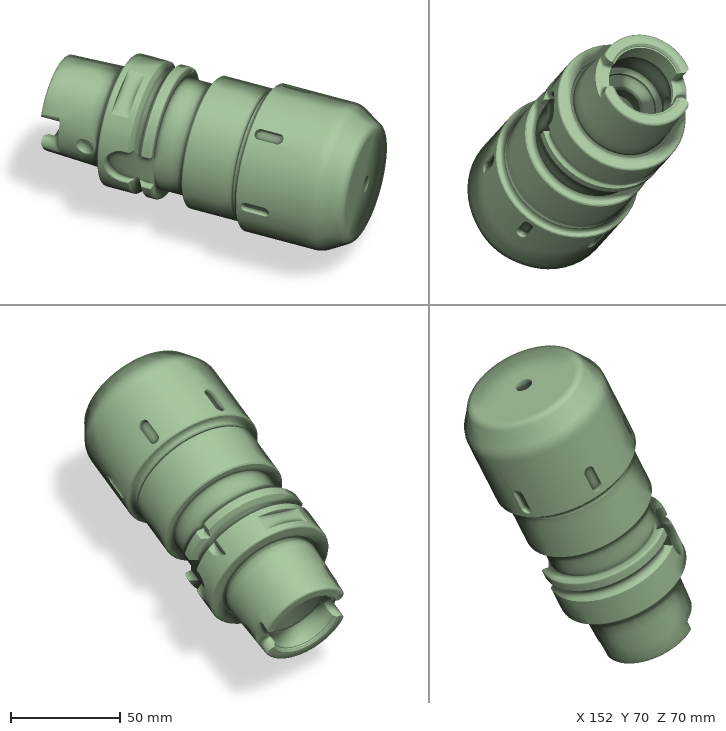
import cadquery as cq
import math


shank_length = 31.9
shank_end_radius = 22.8
shank_root_radius = 48.2 / 2
shank_end_fillet = 1.2
taper_end = 30.2
relief_depth = 0.3
relief_recess = 0.5
relief_radius = 25.4

flange_radius = 63.0 / 2
flange_end = 58.0
flange_fillet = 1.0
v_groove_centre = 50.0
v_groove_floor = 2.0
v_groove_radius = 27.5
v_groove_fillet = 1.0
v_groove_half_angle = 30

neck_radius = 53.0 / 2
shoulder_start = 73.5
shoulder_end = 98.3
shoulder_radius = flange_radius
shoulder_front_chamfer = 0.6
shoulder_rear_chamfer = 0.8
spigot_radius = 40.0 / 2

mouth_diameter = 36.0
entry_diameter = 34.0
bore_diameter = 33.0
entry_step = 1.5
clamp_recess_start = 12.2
clamp_recess_end = 28.9
clamp_recess_diameter = 37.0
floor_bore_diameter = 30.7
bore_depth = 30.4
seat_diameter = 19.0
seat_inner_diameter = 17.0
seat_depth = 7.6
through_diameter = 8.0

notch_width = 12.3
notch_flat = 20.5
notch_edge_radius = 3.6
notch_corner_radius = 1.2
front_notch_depth = 9.7
back_notch_depth = 6.0

cross_hole_diameter = 8.0
cross_hole_chamfer = 0.3
cross_hole_x = 23.0

slot_centre_x = 44.7
slot_floor = neck_radius
front_slot_width = 18.0
back_slot_width = 16.0
front_slot_chamfer = 0.5

corner_notch_offset = 20.0
corner_notch_run_out = 8.5
pocket_start = 35.3
pocket_length = 8.4
pocket_floor = 29.2
pocket_angle = 21.8

nut_gap = 0.3
nut_start = shoulder_end + nut_gap
nut_end = 152.0
nut_radius = 70.0 / 2
collar_radius = 31.6
collar_chamfer = 0.6
flare_start = 99.9
flare_radius = 1.8
nut_chamfer = 0.5
nut_taper_start = 136.8
nut_taper_angle = 30
nut_shoulder_arc = 10.2
nut_nose_arc = 4.0
key_slot_count = 6
key_slot_x = 111.3
key_slot_length = 14.0
key_slot_width = 5.2
key_slot_depth = 3.0

cutter_overrun = 1.5


def revolve_about_x(profile):
    return profile.close().revolve(360, (0, 0, 0), (1, 0, 0))


def cylinder_along_x(start, end, diameter):
    return cq.Workplane("YZ", origin=(start, 0, 0)).circle(diameter / 2).extrude(end - start)


def cone_along_x(start, length, start_diameter, end_diameter):
    axis = cq.Vector(1, 0, 0)
    cone = cq.Solid.makeCone(start_diameter / 2, end_diameter / 2, length, cq.Vector(start, 0, 0), axis)
    return cq.Workplane("XY").add(cone)


def make_shank_blank():
    root_radius = shank_root_radius - relief_depth
    recess_floor = shank_length + relief_recess
    outline = (
        cq.Workplane("XY")
        .moveTo(0, 0)
        .lineTo(0, shank_end_radius - shank_end_fillet)
        .radiusArc((shank_end_fillet, shank_end_radius), shank_end_fillet)
        .lineTo(taper_end, shank_root_radius)
        .lineTo(taper_end + relief_depth, root_radius)
        .lineTo(recess_floor, root_radius)
        .lineTo(recess_floor, 0)
    )
    return revolve_about_x(outline)


def make_shank():
    hole = cq.Workplane("XZ").center(cross_hole_x, 0).circle(cross_hole_diameter / 2).extrude(flange_radius)
    rim = cq.selectors.NearestToPointSelector((cross_hole_x, -shank_root_radius, 0))
    return make_shank_blank().cut(hole).edges(rim).chamfer(cross_hole_chamfer)


def make_face_relief():
    """Shallow conical recess in the front face of the flange, around the root of the shank."""
    root_radius = shank_root_radius - relief_depth
    outline = (
        cq.Workplane("XY")
        .moveTo(shank_length, root_radius)
        .lineTo(shank_length + relief_recess, root_radius)
        .lineTo(shank_length + relief_recess, relief_radius - relief_recess)
        .lineTo(shank_length, relief_radius)
    )
    return revolve_about_x(outline)


def make_v_groove():
    floor_start = v_groove_centre - v_groove_floor / 2
    floor_end = v_groove_centre + v_groove_floor / 2
    top = flange_radius + cutter_overrun
    spread = (top - v_groove_radius) * math.tan(math.radians(v_groove_half_angle))
    outline = (
        cq.Workplane("XY")
        .moveTo(floor_start, v_groove_radius)
        .lineTo(floor_start - spread, top)
        .lineTo(floor_end + spread, top)
        .lineTo(floor_end, v_groove_radius)
    )
    return revolve_about_x(outline).edges(cq.selectors.RadiusNthSelector(0)).fillet(v_groove_fillet)


def make_flange():
    half_width = front_slot_width / 2
    margin = 0.2
    rim = cq.selectors.BoxSelector(
        (shank_length, -flange_radius - margin, -half_width - margin),
        (flange_end - margin, -(slot_floor + flange_radius) / 2, half_width + margin),
    )
    return (
        cylinder_along_x(shank_length, flange_end, 2 * flange_radius)
        .edges()
        .fillet(flange_fillet)
        .cut(make_driving_slot(front_slot_width, -1))
        .edges(rim)
        .chamfer(front_slot_chamfer)
        .cut(make_driving_slot(back_slot_width, 1))
        .cut(make_v_groove())
        .cut(make_corner_notch())
        .cut(make_flat_pocket())
        .cut(make_face_relief())
    )


def make_rear():
    outline = (
        cq.Workplane("XY")
        .moveTo(flange_end, 0)
        .lineTo(flange_end, neck_radius)
        .lineTo(shoulder_start, neck_radius)
        .lineTo(shoulder_start, shoulder_radius - shoulder_front_chamfer)
        .lineTo(shoulder_start + shoulder_front_chamfer, shoulder_radius)
        .lineTo(shoulder_end - shoulder_rear_chamfer, shoulder_radius)
        .lineTo(shoulder_end, shoulder_radius - shoulder_rear_chamfer)
        .lineTo(shoulder_end, spigot_radius)
        .lineTo(nut_end, spigot_radius)
        .lineTo(nut_end, 0)
    )
    return revolve_about_x(outline)


def make_bores():
    mouth_depth = (mouth_diameter - entry_diameter) / 2
    seat_chamfer = (seat_diameter - seat_inner_diameter) / 2
    seat_end = bore_depth + seat_depth
    return (
        cylinder_along_x(0, bore_depth, floor_bore_diameter)
        .union(cylinder_along_x(0, clamp_recess_start, bore_diameter))
        .union(cylinder_along_x(0, entry_step, entry_diameter))
        .union(cone_along_x(0, mouth_depth, mouth_diameter, entry_diameter))
        .union(make_clamp_recess())
        .union(cone_along_x(bore_depth, seat_chamfer, seat_diameter, seat_inner_diameter))
        .union(cylinder_along_x(bore_depth, seat_end, seat_inner_diameter))
        .union(cylinder_along_x(0, nut_end, through_diameter))
    )


def make_clamp_recess():
    """Ring recess behind the bore mouth, entered over a 45-degree clamping cone."""
    rise = (clamp_recess_diameter - bore_diameter) / 2
    cone_end = clamp_recess_start + rise
    cone = cone_along_x(clamp_recess_start, rise, bore_diameter, clamp_recess_diameter)
    return cone.union(cylinder_along_x(cone_end, clamp_recess_end, clamp_recess_diameter))


def make_driving_notch(depth, side):
    """Notch in the shank end on the +Y (side = 1) or -Y (side = -1) wall, opening onto a flat."""
    half_width = notch_width / 2
    reach = shank_root_radius
    arc_start = notch_flat - notch_edge_radius
    arc_end = half_width + notch_edge_radius
    arc_inset = notch_edge_radius * math.sqrt(0.5)
    arc_middle = (arc_start + arc_inset, arc_end - arc_inset)
    notch = (
        cq.Workplane("YZ")
        .moveTo(0, -half_width)
        .lineTo(arc_start, -half_width)
        .threePointArc((arc_middle[0], -arc_middle[1]), (notch_flat, -arc_end))
        .lineTo(notch_flat, -reach)
        .lineTo(reach, -reach)
        .lineTo(reach, reach)
        .lineTo(notch_flat, reach)
        .lineTo(notch_flat, arc_end)
        .threePointArc(arc_middle, (arc_start, half_width))
        .lineTo(0, half_width)
        .close()
        .extrude(depth)
        .faces(">X")
        .edges()
        .fillet(notch_corner_radius)
    )
    return notch if side > 0 else notch.mirror("XZ")


def make_driving_slot(width, side):
    """Round-ended slot that runs out through the rear of the flange at the +Y or -Y side."""
    height = flange_radius + cutter_overrun - slot_floor
    run = flange_end - slot_centre_x
    plane = cq.Plane(origin=(slot_centre_x, side * slot_floor, 0), xDir=(1, 0, 0), normal=(0, side, 0))
    round_end = cq.Workplane(plane).circle(width / 2).extrude(height)
    straight = cq.Workplane(plane).center(run / 2, 0).rect(run, width).extrude(height)
    return round_end.union(straight)


def make_corner_notch():
    """Square notch at 45 degrees whose floor rises along an arc at its front end."""
    size = flange_radius - corner_notch_offset
    run = flange_end - slot_centre_x
    arc_centre = corner_notch_offset + corner_notch_run_out
    plane = cq.Workplane("XZ", origin=(0, corner_notch_offset, 0))
    round_end = plane.center(slot_centre_x, arc_centre).circle(corner_notch_run_out).extrude(-size)
    straight = cq.Workplane("XY").box(run, size, size, centered=False)
    return round_end.union(straight.translate((slot_centre_x, corner_notch_offset, corner_notch_offset)))


def make_flat_pocket():
    pocket = cq.Workplane("XY").box(pocket_length, 2 * flange_radius, flange_radius, centered=(False, True, False))
    return pocket.translate((pocket_start, 0, pocket_floor)).rotate((0, 0, 0), (1, 0, 0), pocket_angle)


def make_holder():
    return (
        make_flange()
        .union(make_shank())
        .union(make_rear())
        .cut(make_bores())
        .cut(make_driving_notch(front_notch_depth, -1))
        .cut(make_driving_notch(back_notch_depth, 1))
    )


def make_key_slot():
    slot = cq.Workplane("XY").slot2D(key_slot_length, key_slot_width).extrude(2 * key_slot_depth)
    return slot.translate((key_slot_x, 0, nut_radius - key_slot_depth))


def make_nut():
    angle = math.radians(nut_taper_angle)
    flare_end = flare_start + flare_radius
    taper_x = nut_taper_start + nut_shoulder_arc * math.sin(angle)
    taper_radius = nut_radius - nut_shoulder_arc * (1 - math.cos(angle))
    nose_x = nut_end - nut_nose_arc * (1 - math.sin(angle))
    nose_radius = taper_radius - (nose_x - taper_x) * math.tan(angle)
    face_radius = nose_radius - nut_nose_arc * math.cos(angle)
    outline = (
        cq.Workplane("XY")
        .moveTo(nut_start, spigot_radius)
        .lineTo(nut_start, collar_radius - collar_chamfer)
        .lineTo(nut_start + collar_chamfer, collar_radius)
        .lineTo(flare_start, collar_radius)
        .radiusArc((flare_end, collar_radius + flare_radius), -flare_radius)
        .lineTo(flare_end, nut_radius - nut_chamfer)
        .lineTo(flare_end + nut_chamfer, nut_radius)
        .lineTo(nut_taper_start, nut_radius)
        .radiusArc((taper_x, taper_radius), nut_shoulder_arc)
        .lineTo(nose_x, nose_radius)
        .radiusArc((nut_end, face_radius), nut_nose_arc)
        .lineTo(nut_end, spigot_radius)
    )
    nut = revolve_about_x(outline)
    for index in range(key_slot_count):
        slot_angle = 90 + index * 360 / key_slot_count
        nut = nut.cut(make_key_slot().rotate((0, 0, 0), (1, 0, 0), slot_angle))
    return nut


holder = make_holder()
nut = make_nut()

result = cq.Compound.makeCompound([holder.val(), nut.val()])